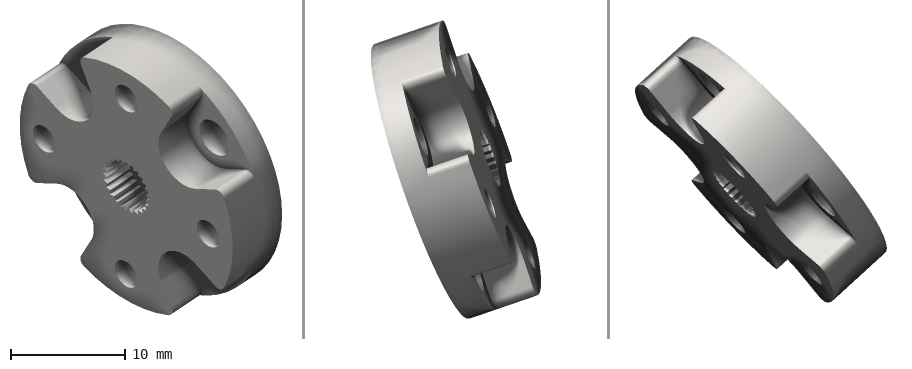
import cadquery as cq
import math

disc_radius = 12.7
thickness = 6.35
floor_thickness = 2.5
pocket_depth = thickness - floor_thickness

hole_circle_radius = 9.78
small_hole_diameter = 2.72
large_hole_diameter = 3.55
bore_diameter = 3.05

pocket_radius = 3.05
pocket_flare = 18
rim_corner_radius = 0.75

tooth_count = 24
tooth_tip_radius = 2.77
tooth_root_radius = 2.39
socket_depth = 3.0

QUARTER_TURNS = (0, 90, 180, 270)
DIAGONALS = (45, 135, 225, 315)

tolerance = 0.003

front_y = -thickness / 2
front_plane = cq.Plane(origin=(0, front_y, 0), xDir=(1, 0, 0), normal=(0, -1, 0))


def polar(radius, degrees):
    """Point at a radius and an angle in the local plane."""
    angle = math.radians(degrees)
    return (radius * math.cos(angle), radius * math.sin(angle))


def cylinders(diameter, centers):
    """Cylinders through the whole thickness of the disc."""
    return cq.Workplane(front_plane).pushPoints(centers).circle(diameter / 2).extrude(-thickness)


def pocket():
    """Round-bottomed pocket on the local x axis, widening toward the rim."""
    center = hole_circle_radius
    flare = math.radians(pocket_flare)
    tangent_x = center - pocket_radius * math.sin(flare)
    tangent_y = pocket_radius * math.cos(flare)
    mouth_x = disc_radius + pocket_radius
    mouth_y = tangent_y + (mouth_x - tangent_x) * math.tan(flare)
    return (
        cq.Workplane(front_plane)
        .moveTo(mouth_x, -mouth_y)
        .lineTo(tangent_x, -tangent_y)
        .threePointArc((center - pocket_radius, 0), (tangent_x, tangent_y))
        .lineTo(mouth_x, mouth_y)
        .close()
        .extrude(-pocket_depth)
    )


def toothed_socket():
    """Blind socket outlined by pointed teeth, with one tip on the X axis."""
    half_pitch = 180 / tooth_count
    points = []
    for tooth in range(tooth_count):
        tip_angle = 2 * tooth * half_pitch
        points.append(polar(tooth_tip_radius, tip_angle))
        points.append(polar(tooth_root_radius, tip_angle + half_pitch))
    return cq.Workplane(front_plane).polyline(points).close().extrude(-socket_depth)


body = cq.Workplane(front_plane).circle(disc_radius).extrude(-thickness)
for angle in DIAGONALS:
    body = body.cut(pocket().rotate((0, 0, 0), (0, 1, 0), angle))

corner_edges = [
    edge
    for edge in body.edges("|Y").vals()
    if abs(math.hypot(edge.Center().x, edge.Center().z) - disc_radius) < tolerance
    and edge.Length() < thickness - tolerance
]
body = body.newObject(corner_edges).fillet(rim_corner_radius)

body = body.cut(toothed_socket())
body = body.cut(cylinders(bore_diameter, [(0, 0)]))
body = body.cut(cylinders(small_hole_diameter, [polar(hole_circle_radius, a) for a in QUARTER_TURNS]))
body = body.cut(cylinders(large_hole_diameter, [polar(hole_circle_radius, a) for a in DIAGONALS]))

result = body